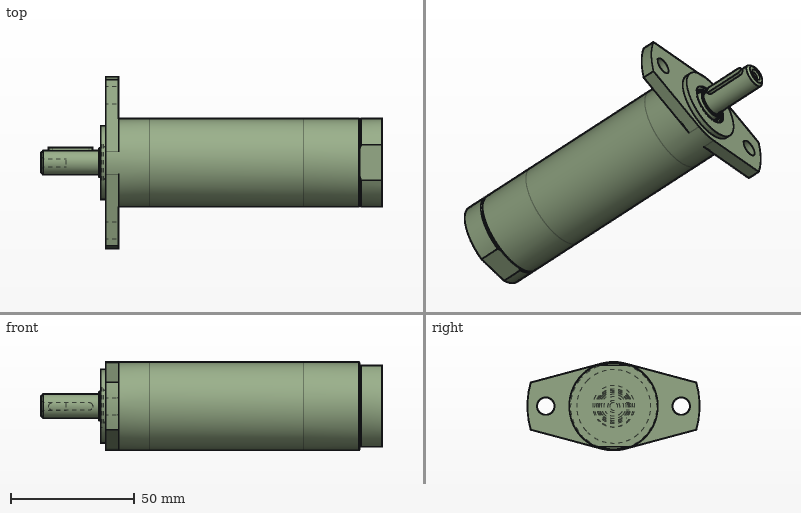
import cadquery as cq
import math


pilot_face_x = 24.2
flange_face_x = 26.3
front_seam_x = 43.9
rear_seam_x = 106.4
cap_start_x = 129.5
overall_length = 138.5

body_diameter = 36.0
pilot_diameter = 30.0
seam_chamfer = 0.5
cap_across_flats = 33.0

flange_thickness = 5.2
flange_width = 70.0
flange_taper_angle = math.radians(15.0)
mount_hole_diameter = 7.0
mount_hole_spacing = 55.0

shaft_diameter = 10.0
shaft_tip_diameter = 8.0
shaft_tip_length = 1.0
centre_hole_diameter = 3.24
centre_hole_depth = 10.0
countersink_diameter = 4.9

key_width = 3.0
key_length = 18.0
key_start_x = 3.0
key_depth = 3.0
key_top_y = 6.2

recess_diameter = 17.0
recess_depth = 0.5
retaining_ring_opening = 15.5
retaining_ring_offset = 0.6
retaining_ring_thickness = 0.5
seal_groove_diameter = 14.0
seal_groove_floor_diameter = 13.0
seal_groove_depth = 1.0
lip_shoulder_diameter = 11.95
lip_tip_diameter = 11.45
lip_projection = 0.7
lip_tip_length = 0.3


def cylinder(start_x, end_x, diameter):
    """Solid cylinder on the motor axis."""
    return cq.Workplane("YZ", origin=(start_x, 0, 0)).circle(diameter / 2).extrude(end_x - start_x)


def revolved(profile):
    """Solid of revolution about X from (x, diameter) profile points."""
    points = [(x, diameter / 2) for x, diameter in profile]
    return cq.Workplane("XY").polyline(points).close().revolve(360, (0, 0, 0), (1, 0, 0))


def make_housing():
    """Pilot, flange and motor barrel, built in sections that meet at the seams."""
    pilot = cylinder(pilot_face_x, flange_face_x, pilot_diameter)
    front = cylinder(flange_face_x, front_seam_x, body_diameter).union(make_flange()).clean()
    middle = cylinder(front_seam_x, rear_seam_x, body_diameter)
    rear = cylinder(rear_seam_x, cap_start_x, body_diameter).faces(">X").chamfer(seam_chamfer)
    return pilot.union(front, clean=False).union(middle, clean=False).union(rear, clean=False)


def make_cap():
    """Rear cap with a flat above and below."""
    cap = cylinder(cap_start_x, overall_length, body_diameter).faces("<X").chamfer(seam_chamfer)
    flats = cq.Workplane("XY").box(
        overall_length - cap_start_x, body_diameter, cap_across_flats, centered=(False, True, True)
    )
    return cap.intersect(flats.translate((cap_start_x, 0, 0)))


def make_flange():
    """Two-hole flange whose tapered sides are tangent to the barrel."""
    body_radius = body_diameter / 2
    end_y = flange_width / 2
    tangent_y = body_radius * math.sin(flange_taper_angle)
    tangent_z = body_radius * math.cos(flange_taper_angle)
    corner_angle = math.pi / 2 - flange_taper_angle - math.acos(body_radius / end_y)
    corner_y = end_y * math.cos(corner_angle)
    corner_z = end_y * math.sin(corner_angle)
    outline = (
        cq.Workplane("YZ", origin=(flange_face_x, 0, 0))
        .moveTo(corner_y, -corner_z)
        .threePointArc((end_y, 0), (corner_y, corner_z))
        .lineTo(tangent_y, tangent_z)
        .threePointArc((0, body_radius), (-tangent_y, tangent_z))
        .lineTo(-corner_y, corner_z)
        .threePointArc((-end_y, 0), (-corner_y, -corner_z))
        .lineTo(-tangent_y, -tangent_z)
        .threePointArc((0, -body_radius), (tangent_y, -tangent_z))
        .close()
    )
    holes = (
        cq.Workplane("YZ", origin=(flange_face_x, 0, 0))
        .rarray(mount_hole_spacing, 1, 2, 1)
        .circle(mount_hole_diameter / 2)
        .extrude(flange_thickness)
    )
    return outline.extrude(flange_thickness).cut(holes)


def make_seal_cavity():
    """Recess down to an eccentric retaining ring, then a tapered groove around the seal lip."""
    recess_floor_x = pilot_face_x + recess_depth
    recess = cylinder(pilot_face_x, recess_floor_x, recess_diameter)
    groove_start_x = recess_floor_x + retaining_ring_thickness
    groove_floor_x = groove_start_x + seal_groove_depth
    ring_opening = cylinder(recess_floor_x, groove_start_x, retaining_ring_opening)
    ring_opening = ring_opening.translate((0, 0, -retaining_ring_offset))
    groove = revolved([
        (groove_start_x, 0),
        (groove_start_x, seal_groove_diameter),
        (groove_floor_x, seal_groove_floor_diameter),
        (groove_floor_x, 0),
    ])
    return recess.union(ring_opening).union(groove)


def make_seal_lip():
    """Tapered lip that closes around the shaft and stands proud of the pilot."""
    groove_floor_x = pilot_face_x + recess_depth + retaining_ring_thickness + seal_groove_depth
    lip_tip_x = pilot_face_x - lip_projection
    return revolved([
        (groove_floor_x, 0),
        (groove_floor_x, seal_groove_floor_diameter),
        (lip_tip_x + lip_tip_length, lip_shoulder_diameter),
        (lip_tip_x, lip_tip_diameter),
        (lip_tip_x, 0),
    ])


def make_shaft():
    """Output shaft with a tapered tip and a countersunk centre hole."""
    shaft = revolved([
        (0, 0),
        (0, shaft_tip_diameter),
        (shaft_tip_length, shaft_diameter),
        (flange_face_x, shaft_diameter),
        (flange_face_x, 0),
    ])
    countersink_depth = (countersink_diameter - centre_hole_diameter) / 2
    centre_hole = revolved([
        (0, 0),
        (0, countersink_diameter),
        (countersink_depth, centre_hole_diameter),
        (centre_hole_depth, centre_hole_diameter),
        (centre_hole_depth, 0),
    ])
    return shaft.cut(centre_hole)


def make_key():
    """Round-ended key on the +Y side of the shaft."""
    return (
        cq.Workplane("XZ", origin=(key_start_x + key_length / 2, key_top_y, 0))
        .slot2D(key_length, key_width)
        .extrude(key_depth)
    )


housing = make_housing().cut(make_seal_cavity(), clean=False)
result = housing
for component in (make_cap(), make_seal_lip(), make_shaft(), make_key()):
    result = result.union(component, clean=False)